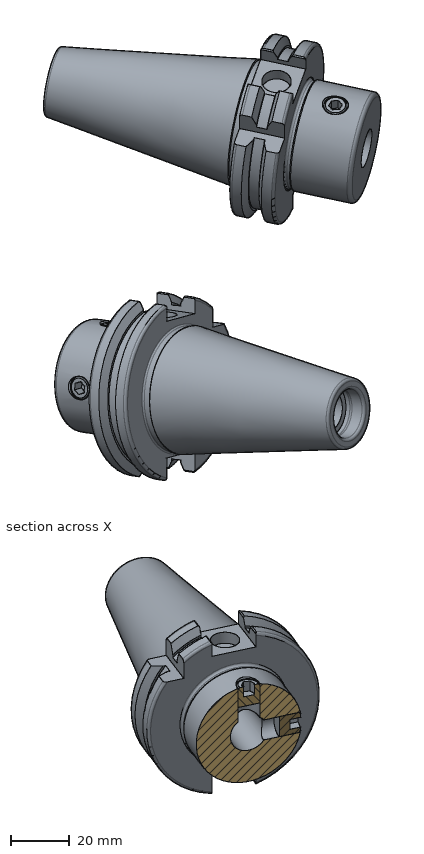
import cadquery as cq
import math

overall_length = 111.4
taper_length = 68.4
flange_start = 71.5
flange_end = 87.6
neck_end = 89.5

gauge_diameter = 44.5
taper_rate = 7 / 24
collar_diameter = 43.8
collar_fillet = 0.6
nose_round = 1.0

flange_diameter = 63.5
flange_radius = flange_diameter / 2
flange_width = flange_end - flange_start
flange_round = 1.0
groove_center = 79.4
groove_floor_width = 3.8
groove_floor_radius = 28.1
groove_wall_top_radius = 28.9
groove_flank_angle = 30.0

slot_width = 16.2
slot_mouth_chamfer = 0.6
upper_slot_floor = 25.0
lower_slot_floor = 22.7
notch_offset = 18.5
pocket_diameter = 10.0
pocket_depth = 4.5

neck_diameter = 38.0
neck_fillet = 0.9
head_diameter = 39.0
head_round = 1.5

through_diameter = 13.5
pilot_diameter = 17.0
pilot_depth = 8.0
pilot_mouth_round = 1.0
undercut_diameter = 17.6
undercut_start = 5.2
undercut_flare = 1.1

screw_diameter = 8.0
screw_length = 8.0
screw_chamfer = 0.6
screw_station = 100.4
screw_top_radius = 19.2
socket_width = 4.0
socket_depth = 4.0
socket_angle = -8.0
seat_mouth_diameter = 9.0
screw_angles = (0.0, -90.0)

quarter_round_offset = 1 - math.sqrt(0.5)


def turned_cylinder(start, end, diameter):
    """Cylinder on the X axis between two stations."""
    return cq.Workplane("YZ", origin=(start, 0, 0)).circle(diameter / 2).extrude(end - start)


def turn_about_axis(shape, angle):
    return shape.rotate((0, 0, 0), (1, 0, 0), angle)


def make_taper():
    gauge_radius = gauge_diameter / 2
    collar_radius = collar_diameter / 2
    small_radius = gauge_radius - taper_length * taper_rate / 2
    relief_end = taper_length + gauge_radius - collar_radius
    taper = (
        cq.Workplane("XZ")
        .moveTo(0, 0)
        .lineTo(0, small_radius)
        .lineTo(taper_length, gauge_radius)
        .lineTo(relief_end, collar_radius)
        .lineTo(flange_start, collar_radius)
        .lineTo(flange_start, 0)
        .close()
        .revolve(360, (0, 0, 0), (1, 0, 0))
    )
    return taper.faces("<X").edges().fillet(nose_round)


def make_flange():
    blank = turned_cylinder(flange_start, flange_end, flange_diameter).edges().fillet(flange_round)
    half_floor = groove_floor_width / 2
    flank_run = (flange_radius - groove_wall_top_radius) * math.tan(math.radians(groove_flank_angle))
    half_mouth = half_floor + flank_run
    groove = (
        cq.Workplane("XZ")
        .moveTo(groove_center - half_floor, groove_floor_radius)
        .lineTo(groove_center - half_floor, groove_wall_top_radius)
        .lineTo(groove_center - half_mouth, flange_radius)
        .lineTo(groove_center + half_mouth, flange_radius)
        .lineTo(groove_center + half_floor, groove_wall_top_radius)
        .lineTo(groove_center + half_floor, groove_floor_radius)
        .close()
        .revolve(360, (0, 0, 0), (1, 0, 0))
    )
    return blank.cut(groove)


def make_key_slot(floor_height):
    """Slot open toward +Z, with a chamfered mouth where its walls meet the flange rim."""
    half_slot = slot_width / 2
    rim_height = math.sqrt(flange_radius**2 - half_slot**2)
    chamfer_start = rim_height - slot_mouth_chamfer
    half_mouth = half_slot + flange_radius - chamfer_start
    outline = [
        (-half_slot, floor_height),
        (-half_slot, chamfer_start),
        (-half_mouth, flange_radius),
        (half_mouth, flange_radius),
        (half_slot, chamfer_start),
        (half_slot, floor_height),
    ]
    return cq.Workplane("YZ", origin=(flange_start, 0, 0)).polyline(outline).close().extrude(flange_width)


def make_notch():
    """Square corner notch toward -Y and +Z, across the full width of the flange."""
    side = flange_radius - notch_offset
    return (
        cq.Workplane("XY")
        .box(flange_width, side, side, centered=False)
        .translate((flange_start, -flange_radius, notch_offset))
    )


def cut_flange_features(flange):
    upper_slot = make_key_slot(upper_slot_floor)
    lower_slot = turn_about_axis(make_key_slot(lower_slot_floor), 180)
    notch = make_notch()
    pocket = (
        cq.Workplane("XY", origin=(groove_center, 0, upper_slot_floor))
        .circle(pocket_diameter / 2)
        .extrude(-pocket_depth)
    )
    return flange.cut(upper_slot).cut(lower_slot).cut(notch).cut(pocket)


def make_head():
    neck = turned_cylinder(flange_end, neck_end, neck_diameter)
    shoulder = (head_diameter - neck_diameter) / 2
    head = turned_cylinder(neck_end, overall_length, head_diameter)
    head = head.faces("<X").chamfer(shoulder)
    head = head.faces(">X").edges().fillet(head_round)
    return neck.union(head)


def corner_fillet_ring(station, radius, fillet, direction):
    """Ring with a concave quarter-round that fills the corner between a shaft and a flange face."""
    away = station + direction * fillet
    bulge = fillet * quarter_round_offset
    return (
        cq.Workplane("XZ")
        .moveTo(station, radius - fillet)
        .lineTo(station, radius + fillet)
        .threePointArc((station + direction * bulge, radius + bulge), (away, radius))
        .lineTo(away, radius - fillet)
        .close()
        .revolve(360, (0, 0, 0), (1, 0, 0))
    )


def make_bore():
    """Through hole, pilot bore with a rounded mouth, and a flared undercut at the pilot floor."""
    pilot_radius = pilot_diameter / 2
    undercut_radius = undercut_diameter / 2
    mouth_radius = pilot_radius + pilot_mouth_round
    bulge = pilot_mouth_round * quarter_round_offset
    pilot = (
        cq.Workplane("XZ")
        .moveTo(0, 0)
        .lineTo(0, mouth_radius)
        .threePointArc((bulge, pilot_radius + bulge), (pilot_mouth_round, pilot_radius))
        .lineTo(undercut_start, pilot_radius)
        .lineTo(undercut_start + undercut_flare, undercut_radius)
        .lineTo(pilot_depth, undercut_radius)
        .lineTo(pilot_depth, 0)
        .close()
        .revolve(360, (0, 0, 0), (1, 0, 0))
    )
    return pilot.union(turned_cylinder(0, overall_length, through_diameter))


def make_screw_seat():
    """Threaded hole from the head surface into the bore, with a 45 degree countersink, along +Z."""
    head_radius = head_diameter / 2
    seat = (
        cq.Workplane("XY", origin=(screw_station, 0, 0)).circle(screw_diameter / 2).extrude(head_radius)
    )
    mouth_depth = (seat_mouth_diameter - screw_diameter) / 2
    countersink = cq.Workplane(
        cq.Solid.makeCone(
            screw_diameter / 2,
            seat_mouth_diameter / 2,
            mouth_depth,
            pnt=cq.Vector(screw_station, 0, head_radius - mouth_depth),
        )
    )
    return seat.union(countersink)


def make_screw():
    """Hexagon-socket set screw along +Z."""
    screw = (
        cq.Workplane("XY", origin=(screw_station, 0, screw_top_radius))
        .circle(screw_diameter / 2)
        .extrude(-screw_length)
        .faces(">Z")
        .edges()
        .chamfer(screw_chamfer)
    )
    socket = (
        cq.Workplane("XY", origin=(screw_station, 0, screw_top_radius))
        .transformed(rotate=(0, 0, socket_angle))
        .polygon(6, socket_width, circumscribed=True)
        .extrude(-socket_depth)
    )
    return screw.cut(socket)


def make_holder():
    holder = make_taper().union(cut_flange_features(make_flange())).union(make_head())
    holder = holder.union(corner_fillet_ring(flange_start, collar_diameter / 2, collar_fillet, -1))
    holder = holder.union(corner_fillet_ring(flange_end, neck_diameter / 2, neck_fillet, 1))
    holder = holder.cut(make_bore())
    for angle in screw_angles:
        holder = holder.cut(turn_about_axis(make_screw_seat(), angle))
    return holder


holder = make_holder()
screws = [turn_about_axis(make_screw(), angle) for angle in screw_angles]

result = cq.Compound.makeCompound([holder.val(), *[screw.val() for screw in screws]])